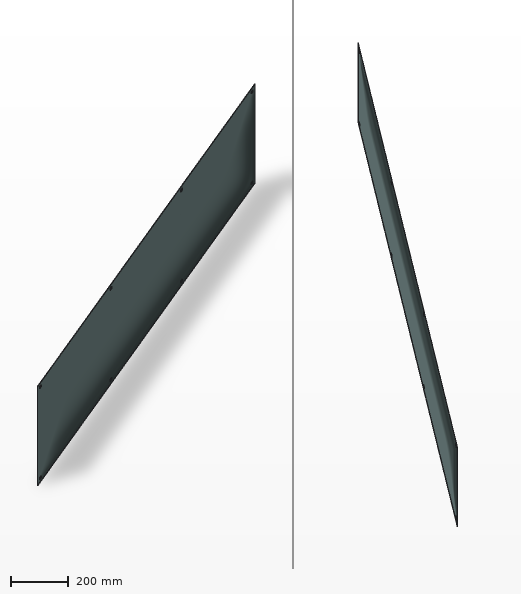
import cadquery as cq

panel_length = 1795.0
panel_height = 445.0
panel_thickness = 1.0

slot_length = 16.0
slot_width = 9.0
end_margin = 23.0
edge_margin = 18.0
slots_per_row = 4
row_count = 2

slot_pitch = (panel_length - 2 * end_margin) / (slots_per_row - 1)
row_spacing = panel_height - 2 * edge_margin

panel = cq.Workplane("YZ").rect(panel_length, panel_height).extrude(panel_thickness / 2, both=True)

result = (
    panel.faces(">X")
    .workplane(origin=(0, 0, 0))
    .rarray(slot_pitch, row_spacing, slots_per_row, row_count)
    .slot2D(slot_length, slot_width)
    .cutThruAll()
)